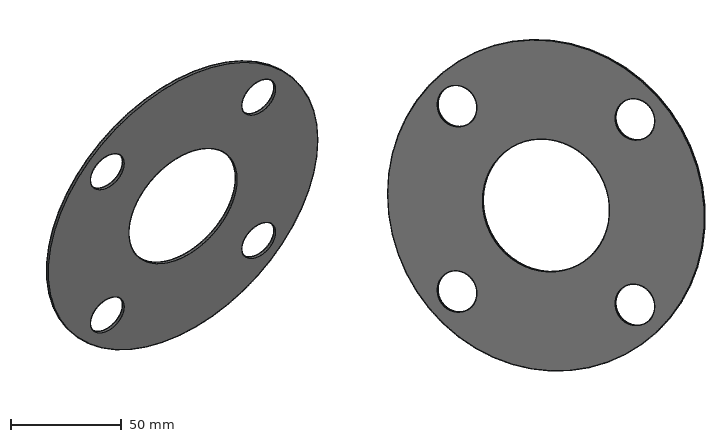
import cadquery as cq

outer_diameter = 152.0
bore_diameter = 61.0
thickness = 1.5

bolt_circle_diameter = 120.7
bolt_hole_diameter = 19.0
bolt_hole_count = 4
first_hole_angle = 180 / bolt_hole_count

ring = (
    cq.Workplane("YZ")
    .circle(outer_diameter / 2)
    .circle(bore_diameter / 2)
    .extrude(thickness / 2, both=True)
)

bolt_holes = (
    cq.Workplane("YZ")
    .polarArray(bolt_circle_diameter / 2, first_hole_angle, 360, bolt_hole_count)
    .circle(bolt_hole_diameter / 2)
    .extrude(thickness, both=True)
)

result = ring.cut(bolt_holes)